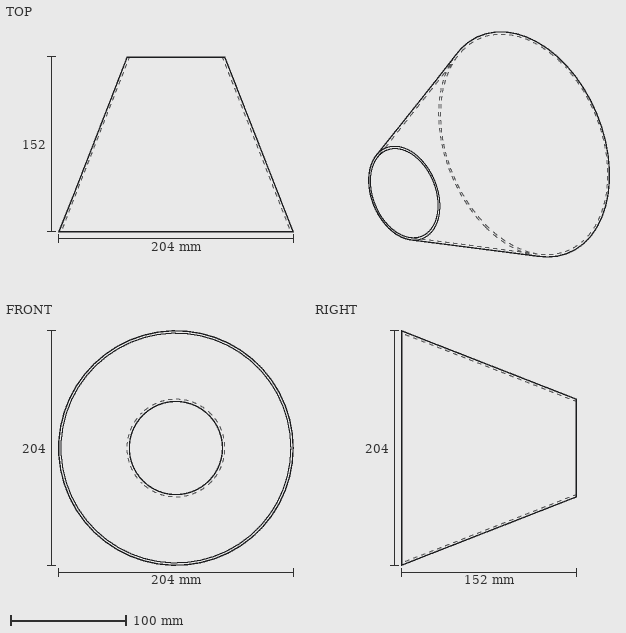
import cadquery as cq
import math

length = 152.0
wide_diameter = 204.0
narrow_diameter = 85.0
wall = 2.0

wide_radius = wide_diameter / 2
narrow_radius = narrow_diameter / 2
half_angle = math.atan2(wide_radius - narrow_radius, length)
radial_wall = wall / math.cos(half_angle)

wall_section = (
    cq.Workplane("XY")
    .moveTo(wide_radius, 0)
    .lineTo(narrow_radius, length)
    .lineTo(narrow_radius - radial_wall, length)
    .lineTo(wide_radius - radial_wall, 0)
    .close()
)

result = wall_section.revolve(360, (0, 0, 0), (0, 1, 0))